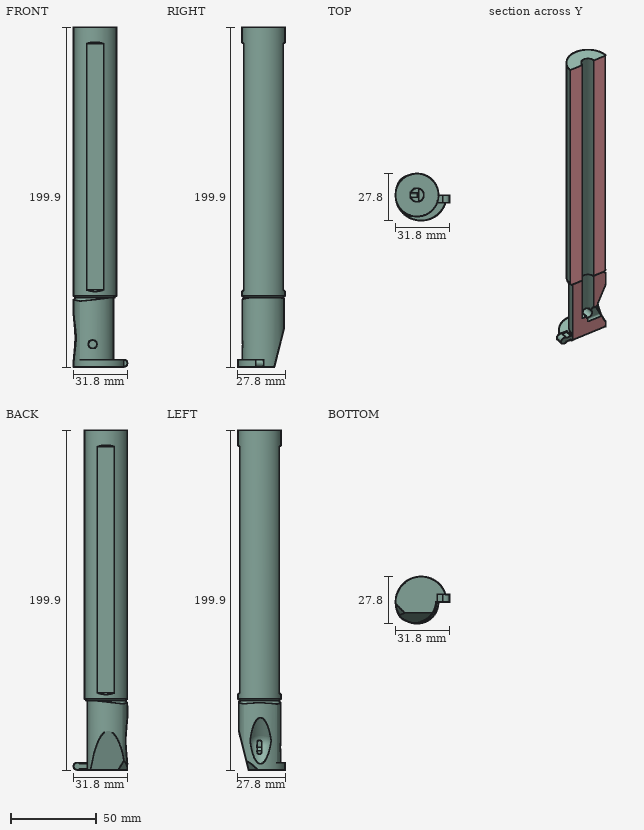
import cadquery as cq
import math

total_height = 199.9
total_width = 31.8
joint_z = 40.8

handle_diameter = 25.4
handle_radius = handle_diameter / 2
handle_chamfer = 1.2
bore_radius = 4.0
flat_half_width = 5.0
flat_top_z = 190.0
flat_bottom_z = 45.4
flat_distance = math.sqrt(handle_radius**2 - flat_half_width**2)
flat_depth = handle_radius - flat_distance

shell_diameter = 30.2
shell_radius = shell_diameter / 2
shell_center_x = shell_radius - handle_radius
core_radius = 12.4
core_center_x = -1.4
core_center_y = -0.2
top_chamfer_radius = 11.4
top_chamfer_height = 6.0

foot_thickness = 4.4
bead_radius = foot_thickness / 2
bead_length = 4.5
bead_center_x = total_width - handle_radius - bead_radius
neck_start_x = 10.0
neck_thickness = 2.8
notch_start_x = 12.0

taper_top_y = 12.2
taper_top_z = 23.0
taper_bottom_y = 6.4
corner_cut_at_axis_y = 13.5
corner_cut_rise = 0.87
clearance = 40.0

recess_radius = 6.4
recess_center_x = -13.2
recess_center_y = -0.8
recess_center_z = 17.2
recess_tilt = math.radians(26)

cross_hole_diameter = 5.0
cross_hole_x = -1.4
cross_hole_z = 13.4
slot_width = 2.5
slot_height = 8.2


def flat_cutter(side):
    """Long flat on the +Y (side = 1) or -Y (side = -1) face, with 45 degree end ramps."""
    return (
        cq.Workplane("YZ")
        .moveTo(side * flat_distance, flat_bottom_z)
        .lineTo(side * flat_distance, flat_top_z)
        .lineTo(side * (handle_radius + flat_depth), flat_top_z + 2 * flat_depth)
        .lineTo(side * (handle_radius + flat_depth), flat_bottom_z - 2 * flat_depth)
        .close()
        .extrude(handle_radius, both=True)
    )


def make_handle():
    """Round bar with a bore along its axis and two opposite flats."""
    handle = (
        cq.Workplane("XY")
        .workplane(offset=joint_z)
        .circle(handle_radius)
        .extrude(total_height - joint_z)
        .faces("<Z")
        .chamfer(handle_chamfer)
    )
    for side in (1, -1):
        handle = handle.cut(flat_cutter(side))
    bore = cq.Workplane("XY").circle(bore_radius).extrude(total_height)
    return handle.cut(bore)


def make_latch_blank():
    """Latch column, with the rim of its top coned about the handle axis."""
    shell = cq.Workplane("XY").center(shell_center_x, 0).circle(shell_radius).extrude(joint_z)
    core = cq.Workplane("XY").center(core_center_x, core_center_y).circle(core_radius).extrude(joint_z)
    cone_base_z = joint_z - top_chamfer_height
    cone_base_radius = top_chamfer_radius + top_chamfer_height
    envelope = (
        cq.Workplane("XZ")
        .moveTo(0, 0)
        .lineTo(cone_base_radius, 0)
        .lineTo(cone_base_radius, cone_base_z)
        .lineTo(top_chamfer_radius, joint_z)
        .lineTo(0, joint_z)
        .close()
        .revolve(360, (0, 0, 0), (0, 1, 0))
    )
    return shell.intersect(core).intersect(envelope)


def make_foot():
    """Half-disc foot on the -Y side, notched at its +X end for the neck and bead."""
    disc = (
        cq.Workplane("XY")
        .moveTo(shell_center_x - shell_radius, 0)
        .threePointArc((shell_center_x, -shell_radius), (shell_center_x + shell_radius, 0))
        .close()
        .extrude(foot_thickness)
    )
    notch = (
        cq.Workplane("XY")
        .moveTo(notch_start_x, 0)
        .rect(clearance, -bead_length, centered=False)
        .extrude(foot_thickness)
    )
    bead = cq.Workplane("XZ").center(bead_center_x, bead_radius).circle(bead_radius).extrude(bead_length)
    neck_length = bead_center_x - neck_start_x
    neck = (
        cq.Workplane("XZ")
        .center(neck_start_x + neck_length / 2, bead_radius)
        .rect(neck_length, neck_thickness)
        .extrude(bead_length)
    )
    return disc.cut(notch).union(neck).union(bead)


def side_taper():
    """Wedge that slopes the +Y side of the latch inward toward the bottom."""
    return (
        cq.Workplane("YZ")
        .moveTo(taper_bottom_y, 0)
        .lineTo(taper_top_y, taper_top_z)
        .lineTo(clearance, taper_top_z)
        .lineTo(clearance, 0)
        .close()
        .extrude(clearance, both=True)
    )


def corner_cut():
    """Region beyond the plane y = x + corner_cut_rise * z + corner_cut_at_axis_y."""
    normal = cq.Vector(-1, 1, -corner_cut_rise)
    plane = cq.Plane(origin=(0, corner_cut_at_axis_y, 0), normal=normal.toTuple())
    return cq.Workplane(plane).rect(2 * clearance, 2 * clearance).extrude(clearance)


def finger_recess():
    """Ball with two round troughs that run out of the -X side, one upward and one downward."""
    center = cq.Vector(recess_center_x, recess_center_y, recess_center_z)
    recess = cq.Workplane("XY").sphere(recess_radius).translate(center)
    for vertical in (1, -1):
        direction = cq.Vector(-math.sin(recess_tilt), 0, vertical * math.cos(recess_tilt))
        trough = cq.Solid.makeCylinder(recess_radius, clearance, center, direction)
        recess = recess.union(cq.Workplane(trough))
    return recess


def latch_holes():
    """Blind bore down to the cross hole from -Y, and a slot that joins them to the recess."""
    bore = (
        cq.Workplane("XY")
        .workplane(offset=cross_hole_z)
        .circle(bore_radius)
        .extrude(joint_z - cross_hole_z)
    )
    cross_hole = (
        cq.Workplane("XZ", origin=(0, bore_radius, 0))
        .center(cross_hole_x, cross_hole_z)
        .circle(cross_hole_diameter / 2)
        .extrude(clearance)
    )
    slot = (
        cq.Workplane("YZ")
        .center(0, cross_hole_z)
        .slot2D(slot_height, slot_width, 90)
        .extrude(recess_center_x)
    )
    return bore.union(cross_hole).union(slot)


def make_latch():
    """Latch column and foot, relieved on the +Y side, with the finger recess and holes."""
    return (
        make_latch_blank()
        .union(make_foot())
        .cut(side_taper())
        .cut(corner_cut())
        .cut(finger_recess())
        .cut(latch_holes())
    )


handle = make_handle()
latch = make_latch()

result = cq.Compound.makeCompound([handle.val(), latch.val()])